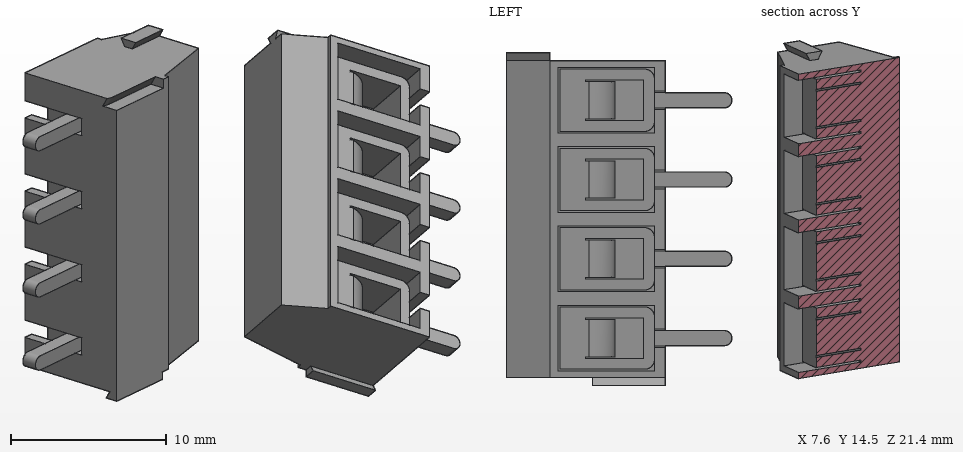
import cadquery as cq


overall_height = 21.42
pole_count = 4
pitch = 5.1
body_height = pole_count * pitch
body_width = 7.6
body_depth = 10.22
entry_shoulder_y = 7.43
entry_shoulder_width = 0.35
back_shoulder_y = 5.31
back_shoulder_width = 0.32
ridge_start_x = 1.52
ridge_end_x = 6.13

wall = 0.7
pocket_top_y = 6.9
pocket_height = 4.22
pocket_depth = 4.7
cage_gap = 0.1
cage_face_x = 1.33
cage_corner_radius = 0.62

opening_start_y = 1.4
opening_end_y = 5.15
opening_height = 2.61
clamp_gap = 0.1
clamp_radius = 2.46
clamp_axis_x = 3.66
clamp_low_y = 3.23
clamp_axis_y = clamp_low_y + clamp_radius

pin_length = 4.28
pin_width = 1.05
pin_thickness = 0.99
pin_start_x = 3.3
slot_height = 1.2

rail_height = (overall_height - body_height) / 2
top_rail_center_x = 2.57
top_rail_root_width = 0.62
top_rail_crest_width = 1.2
side_rail_root_x = 7.03
side_rail_length = 4.7
dovetail_slope = 0.6
groove_clearance = 0.09
groove_depth = 0.62
groove_length = side_rail_length + groove_clearance
lead_in_width = 0.13
lead_in_length = 0.35


def box(x_range, y_range, z_range):
    """Box spanning the given (low, high) ranges."""
    size = [high - low for low, high in (x_range, y_range, z_range)]
    return cq.Workplane("XY").box(*size, centered=False).translate((x_range[0], y_range[0], z_range[0]))


def centered_range(center, size):
    """Range of the given size about a center."""
    return (center - size / 2, center + size / 2)


def xz_prism(points, start_y, end_y):
    """Prism along Y from an outline of (x, z) points."""
    return cq.Workplane("XZ", origin=(0, start_y, 0)).polyline(points).close().extrude(start_y - end_y)


def make_body():
    """Housing that narrows to a ridge on its +Y side."""
    outline = [
        (0, 0),
        (body_width, 0),
        (body_width, back_shoulder_y),
        (body_width - back_shoulder_width, back_shoulder_y),
        (ridge_end_x, body_depth),
        (ridge_start_x, body_depth),
        (entry_shoulder_width, entry_shoulder_y),
        (0, entry_shoulder_y),
    ]
    return cq.Workplane("XY").polyline(outline).close().extrude(body_height)


def make_top_rail():
    """Dovetail rail on the top face, wider at its crest."""
    root = top_rail_root_width / 2
    crest = top_rail_crest_width / 2
    outline = [(-root, 0), (root, 0), (crest, rail_height), (-crest, rail_height)]
    rail = xz_prism(outline, entry_shoulder_y, body_depth)
    return rail.translate((top_rail_center_x, 0, body_height))


def make_side_rail():
    """Half dovetail rail under the body, flush with its +X side."""
    outline = [
        (side_rail_root_x, 0),
        (body_width, 0),
        (body_width, -rail_height),
        (side_rail_root_x - dovetail_slope * rail_height, -rail_height),
    ]
    return xz_prism(outline, 0, side_rail_length)


def make_side_groove():
    """Half dovetail groove in the top face that takes the side rail of a neighbour."""
    mouth_x = side_rail_root_x - groove_clearance
    undercut = dovetail_slope * groove_depth
    floor_z = body_height - groove_depth
    outline = [
        (mouth_x, body_height),
        (body_width, body_height),
        (body_width, floor_z),
        (mouth_x - undercut, floor_z),
    ]
    groove = xz_prism(outline, 0, groove_length)
    chamfer = [(-lead_in_width, 0), (0, 0), (0, lead_in_length)]
    lead_in = (
        cq.Workplane("XY", origin=(mouth_x - undercut, 0, floor_z))
        .polyline(chamfer)
        .close()
        .workplane(offset=groove_depth)
        .center(undercut, 0)
        .polyline(chamfer)
        .close()
        .loft(ruled=True)
    )
    return groove.union(lead_in)


def make_cavity(center_z):
    """Wire pocket and the pin slot that opens it to the solder face."""
    pocket = box((0, pocket_depth), (wall, pocket_top_y), centered_range(center_z, pocket_height))
    slot = box((0, pocket_depth), (0, wall), centered_range(center_z, slot_height))
    return pocket.union(slot)


def make_cage(center_z):
    """Cage rooted in the pocket floor, with a rounded clamp in its opening."""
    x_range = (cage_face_x, pocket_depth)
    cage_height = pocket_height - 2 * cage_gap
    cage = box(x_range, (wall, pocket_top_y - cage_gap), centered_range(center_z, cage_height))
    cage = cage.edges("|X and <Y").fillet(cage_corner_radius)
    opening_y = (opening_start_y, opening_end_y)
    opening = box(x_range, opening_y, centered_range(center_z, opening_height))
    clamp_height = opening_height - 2 * clamp_gap
    clamp = (
        cq.Workplane("XY", origin=(clamp_axis_x, clamp_axis_y, center_z - clamp_height / 2))
        .circle(clamp_radius)
        .extrude(clamp_height)
        .intersect(opening)
    )
    return cage.cut(opening).union(clamp)


def make_pin(center_z):
    """Flat pin with a fully rounded tip, standing on the cage."""
    half = pin_thickness / 2
    shoulder_y = half - pin_length
    return (
        cq.Workplane("YZ", origin=(pin_start_x, 0, center_z))
        .moveTo(wall, -half)
        .lineTo(shoulder_y, -half)
        .threePointArc((-pin_length, 0), (shoulder_y, half))
        .lineTo(wall, half)
        .close()
        .extrude(pin_width)
    )


result = make_body().union(make_top_rail()).union(make_side_rail()).cut(make_side_groove())
for pole in range(pole_count):
    pole_z = (pole + 0.5) * pitch
    result = result.cut(make_cavity(pole_z))
    result = result.union(make_cage(pole_z)).union(make_pin(pole_z))